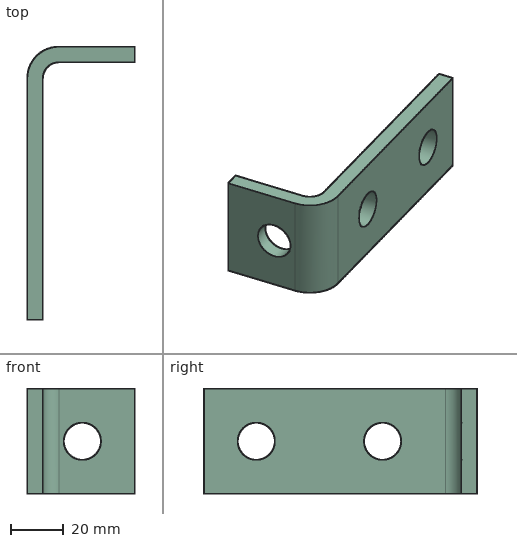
import cadquery as cq

width_x = 41.0
length_y = 104.0
height_z = 40.0

thickness = 6.0
inner_radius = 6.0
outer_radius = inner_radius + thickness

hole_diameter = 14.0
end_distance = 20.0
hole_spacing = 48.0
hole_height = height_z / 2


def make_bent_strip():
    """L-shaped strip: long leg along Y at X = 0, short leg along X at the +Y end."""
    outer = cq.Workplane("XY").box(width_x, length_y, height_z, centered=False)
    outer = outer.edges("|Z and <X and >Y").fillet(outer_radius)
    inner = (
        cq.Workplane("XY")
        .box(width_x - thickness, length_y - thickness, height_z, centered=False)
        .edges("|Z and <X and >Y")
        .fillet(inner_radius)
        .translate((thickness, 0, 0))
    )
    return outer.cut(inner)


def long_leg_holes():
    """Two cylinders along X through the long leg."""
    centres = [(end_distance + i * hole_spacing, hole_height) for i in range(2)]
    return cq.Workplane("YZ").pushPoints(centres).circle(hole_diameter / 2).extrude(thickness)


def short_leg_hole():
    """One cylinder along Y through the short leg."""
    return (
        cq.Workplane("XZ", origin=(0, length_y, 0))
        .center(width_x - end_distance, hole_height)
        .circle(hole_diameter / 2)
        .extrude(thickness)
    )


result = make_bent_strip().cut(long_leg_holes()).cut(short_leg_hole())